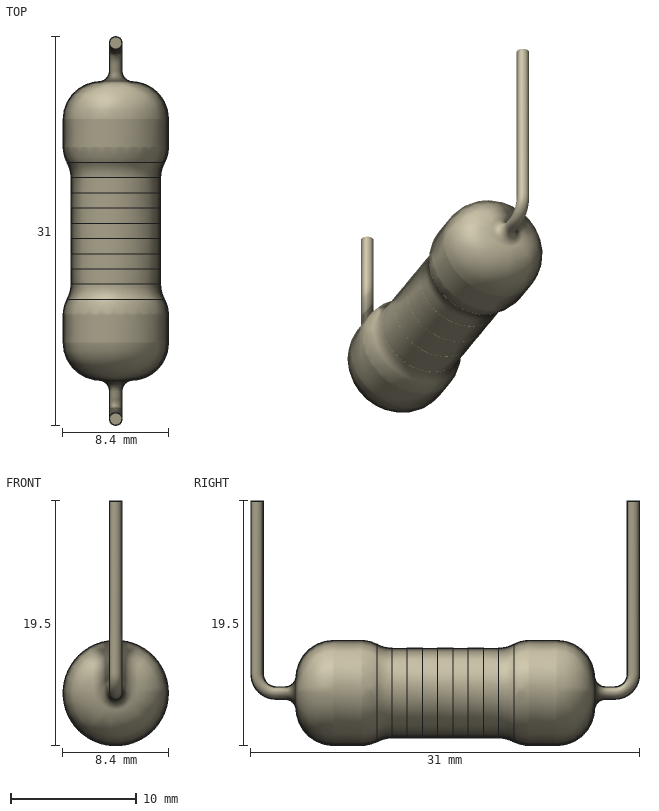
import cadquery as cq
import math


wire_radius = 0.5
lead_spacing = 30.0
lead_top = 15.3
bend_radius = 1.5

end_radius = 8.4 / 2
waist_radius = 7.14 / 2
band_radius = 7.16 / 2
paint_thickness = band_radius - waist_radius

band_width = 1.214
end_cylinder_length = 2.23
cap_radius = 3.0
meniscus_radius = 0.87

waist_steps = [band_width * (i + 0.5) for i in range(4)]
flare_start = waist_steps[-1]
flare_middle = flare_start + band_width
flare_end = flare_middle + band_width
cap_start = flare_end + end_cylinder_length

flare_half_rise = (end_radius - waist_radius) / 2
flare_arc_radius = (band_width**2 + flare_half_rise**2) / (2 * flare_half_rise)
flare_middle_radius = waist_radius + flare_half_rise

cap_centre_radius = end_radius - cap_radius
meniscus_centre_radius = wire_radius + meniscus_radius
centre_distance = cap_radius + meniscus_radius
centre_rise = meniscus_centre_radius - cap_centre_radius
meniscus_end = cap_start + math.sqrt(centre_distance**2 - centre_rise**2)
meniscus_angle = math.asin(centre_rise / centre_distance)
meniscus_start = (
    cap_centre_radius + cap_radius * math.sin(meniscus_angle),
    cap_start + cap_radius * math.cos(meniscus_angle),
)


def point_on_arc(centre, radius, angle):
    """Point (distance from axis, y), with the angle measured from the outward direction towards +Y."""
    return (centre[0] + radius * math.cos(angle), centre[1] + radius * math.sin(angle))


def make_half_body():
    """The +Y side of the coated body beyond the middle band, turned about the Y axis."""
    profile = cq.Workplane("XY").moveTo(0, waist_steps[0]).lineTo(waist_radius, waist_steps[0])

    step_radii = [waist_radius, band_radius, waist_radius, band_radius]
    for y, near_radius, far_radius in zip(waist_steps[1:], step_radii, step_radii[1:]):
        profile = profile.lineTo(near_radius, y).lineTo(far_radius, y)

    flare_sweep = math.asin(band_width / flare_arc_radius)
    concave_centre = (band_radius + flare_arc_radius, flare_start)
    convex_centre = (end_radius - flare_arc_radius, flare_end)
    profile = (
        profile.threePointArc(
            point_on_arc(concave_centre, flare_arc_radius, math.pi - flare_sweep / 2),
            (flare_middle_radius + paint_thickness, flare_middle),
        )
        .lineTo(flare_middle_radius, flare_middle)
        .threePointArc(
            point_on_arc(convex_centre, flare_arc_radius, -flare_sweep / 2),
            (end_radius, flare_end),
        )
    )

    cap_sweep = math.pi / 2 - meniscus_angle
    cap_centre = (cap_centre_radius, cap_start)
    meniscus_centre = (meniscus_centre_radius, meniscus_end)
    profile = (
        profile.lineTo(end_radius, cap_start)
        .threePointArc(point_on_arc(cap_centre, cap_radius, cap_sweep / 2), meniscus_start)
        .threePointArc(
            point_on_arc(meniscus_centre, meniscus_radius, -math.pi + cap_sweep / 2),
            (wire_radius, meniscus_end),
        )
        .lineTo(0, meniscus_end)
        .close()
    )
    return profile.revolve(360, (0, 0), (0, 1))


def make_lead():
    """The +Y wire: out of the meniscus, round the bend and straight up."""
    lead_y = lead_spacing / 2
    bend_start = lead_y - bend_radius
    bend_middle = (
        bend_start + bend_radius * math.sin(math.pi / 4),
        bend_radius * (1 - math.cos(math.pi / 4)),
    )
    path = (
        cq.Workplane("YZ")
        .moveTo(meniscus_end, 0)
        .lineTo(bend_start, 0)
        .threePointArc(bend_middle, (lead_y, bend_radius))
        .lineTo(lead_y, lead_top)
    )
    section = cq.Workplane("XZ", origin=(0, meniscus_end, 0)).circle(wire_radius)
    return section.sweep(path)


def make_middle_band():
    """The painted band across the middle of the body."""
    half_width = waist_steps[0]
    return cq.Workplane("XZ", origin=(0, half_width, 0)).circle(band_radius).extrude(2 * half_width)


half_resistor = make_half_body().union(make_lead())
result = make_middle_band().union(half_resistor).union(half_resistor.mirror("XZ"))